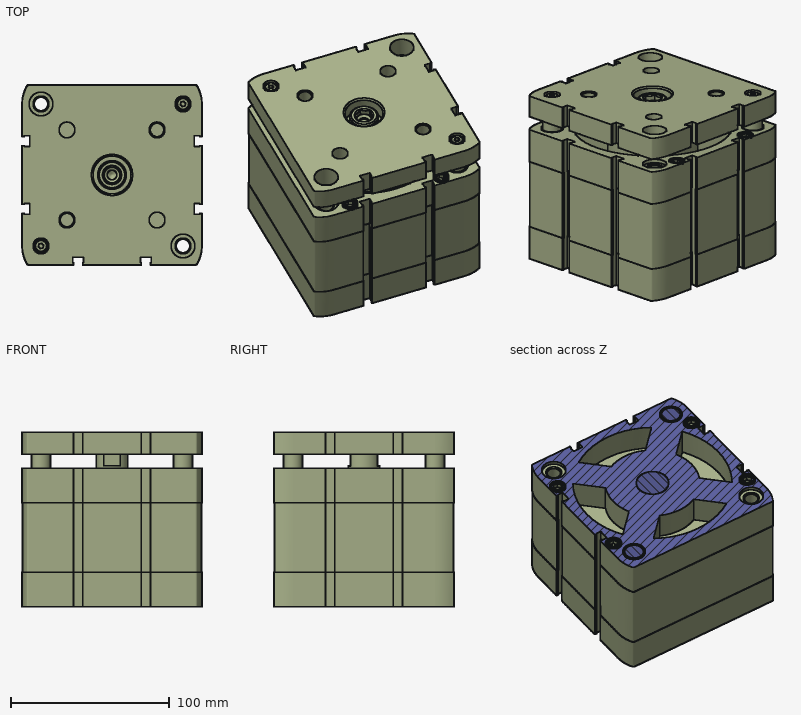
import cadquery as cq
import math

width = 113.5
total_height = 110.0
plate_thickness = 14.0
cap_height = 21.7
housing_height = 87.3
plate_bottom = total_height - plate_thickness
barrel_inset = 0.2

corner_arc_radius = 22.7
corner_arc_start = 44.7
corner_blend_radius = 1.4

slot_offset = 21.3
slot_depth = 4.9
slot_width = 6.6
slot_neck_width = 5.6
slot_neck_depth = 1.4
slot_mouth_chamfer = 0.2

guide_offset = 44.7
guide_diameter = 12.0
guide_recess_diameter = 14.0
guide_recess_depth = 0.6
rod_diameter = 20.0
rod_flat_width = 17.0
rod_flat_start = 88.8
rod_depth = cap_height

pocket_diameter = 100.0
pocket_depth = 18.0
hub_diameter = 60.0
rib_width = 20.0

mount_counterbore_diameter = 15.0
mount_counterbore_depth = 2.3
mount_hole_diameter = 8.5
mount_rim_diameter = 10.0

cap_screw_x = 51.1
cap_screw_y = 31.1
cap_screw_hole_diameter = 10.0
cap_screw_head_diameter = 8.4
cap_screw_groove_depth = 1.0
cap_screw_hex = 5.0
cap_screw_hex_rim = 6.0
cap_screw_hex_depth = 3.4

thread_offset = 28.4
thread_diameter = 8.5
thread_rim_diameter = 10.0
dowel_diameter = 10.0
guide_screw_hole_diameter = 10.0
guide_screw_hole_depth = 2.0
guide_screw_diameter = 8.4
guide_screw_top_diameter = 7.0
guide_screw_height = 1.4
guide_screw_hex = 3.0
guide_screw_hex_turn = 15.0
guide_screw_hex_depth = 2.8

centre_bore_diameter = 24.0
centre_rim_diameter = 26.0
centre_bore_depth = 10.0
head_diameter = 18.0
head_top_diameter = 16.1
head_top_depth = 2.6
head_hex = 10.0
head_hex_rim = 12.0
head_hex_depth = 4.0
drill_diameter = 6.0
drill_depth = 1.1
drill_tip_angle = 118.0

mirrored = (-1, 1)
quadrants = [(sx, sy) for sx in mirrored for sy in mirrored]
guide_points = [(s * guide_offset, s * guide_offset) for s in mirrored]
mount_points = [(s * guide_offset, -s * guide_offset) for s in mirrored]
thread_points = [(s * thread_offset, s * thread_offset) for s in mirrored]
dowel_points = [(s * thread_offset, -s * thread_offset) for s in mirrored]
cap_screw_points = [(sx * cap_screw_x, sy * cap_screw_y) for sx, sy in quadrants]


def cylinders(points, diameter, bottom, top):
    base = cq.Workplane("XY", origin=(0, 0, bottom)).pushPoints(points)
    return base.circle(diameter / 2).extrude(top - bottom)


def cones(points, bottom_diameter, top_diameter, bottom, top):
    """Cones or truncated cones standing at the given points."""
    cone = cq.Solid.makeCone(bottom_diameter / 2, top_diameter / 2, top - bottom, cq.Vector(0, 0, bottom))
    copies = cq.Workplane("XY")
    for x, y in points:
        copies = copies.add(cone.translate(cq.Vector(x, y, 0)))
    return copies.combine()


def rim_chamfers(points, rim_diameter, hole_diameter, top):
    """45 degree countersinks that widen holes up to the rim diameter."""
    depth = (rim_diameter - hole_diameter) / 2
    return cones(points, hole_diameter, rim_diameter, top - depth, top)


def hex_sockets(points, flat_width, turn, bottom, top):
    """Hexagonal prisms; unturned ones have flats across Y."""
    corner_diameter = flat_width / math.cos(math.pi / 6)
    prism = cq.Workplane("XY", origin=(0, 0, bottom)).polygon(6, corner_diameter).extrude(top - bottom)
    prism = prism.rotate((0, 0, 0), (0, 0, 1), turn)
    copies = cq.Workplane("XY")
    for x, y in points:
        copies = copies.add(prism.translate((x, y, 0)).val())
    return copies.combine()


def t_slots(half_width, bottom, top):
    """Two slots on each of the -X, +X and -Y sides."""
    neck_half = slot_neck_width / 2
    slot_half = slot_width / 2
    mouth_half = neck_half + slot_mouth_chamfer
    profile = [
        (-half_width, -mouth_half),
        (-half_width + slot_mouth_chamfer, -neck_half),
        (-half_width + slot_neck_depth, -neck_half),
        (-half_width + slot_neck_depth, -slot_half),
        (-half_width + slot_depth, -slot_half),
        (-half_width + slot_depth, slot_half),
        (-half_width + slot_neck_depth, slot_half),
        (-half_width + slot_neck_depth, neck_half),
        (-half_width + slot_mouth_chamfer, neck_half),
        (-half_width, mouth_half),
    ]
    slot = cq.Workplane("XY", origin=(0, 0, bottom)).polyline(profile).close().extrude(top - bottom)
    slots = cq.Workplane("XY")
    for angle in (0, 90, 180):
        for side in mirrored:
            copy = slot.translate((0, side * slot_offset, 0)).rotate((0, 0, 0), (0, 0, 1), angle)
            slots = slots.add(copy.val())
    return slots.combine()


def slotted_block(inset, bottom, top):
    """Square block with arc-shaped corners and T-slots."""
    half = width / 2 - inset

    def arc_x(y):
        rise = y - corner_arc_start
        return half - corner_arc_radius + math.sqrt(corner_arc_radius**2 - rise**2)

    end_x = arc_x(half)
    mid_y = (corner_arc_start + half) / 2
    mid_x = arc_x(mid_y)
    block = (
        cq.Workplane("XY", origin=(0, 0, bottom))
        .moveTo(half, -corner_arc_start)
        .lineTo(half, corner_arc_start)
        .threePointArc((mid_x, mid_y), (end_x, half))
        .lineTo(-end_x, half)
        .threePointArc((-mid_x, mid_y), (-half, corner_arc_start))
        .lineTo(-half, -corner_arc_start)
        .threePointArc((-mid_x, -mid_y), (-end_x, -half))
        .lineTo(end_x, -half)
        .threePointArc((mid_x, -mid_y), (half, -corner_arc_start))
        .close()
        .extrude(top - bottom)
    )
    for sx, sy in quadrants:
        corner = cq.NearestToPointSelector((sx * end_x, sy * half, (bottom + top) / 2))
        block = block.edges("|Z").edges(corner).fillet(corner_blend_radius)
    return block.cut(t_slots(half, bottom, top))


def cap_pocket():
    """Round pocket around the hub, interrupted by the diagonal ribs."""
    floor = housing_height - pocket_depth
    pocket = cylinders([(0, 0)], pocket_diameter, floor, housing_height)
    pocket = pocket.cut(cylinders([(0, 0)], hub_diameter, floor, housing_height))
    for angle in (45, 135):
        rib = cq.Workplane("XY", origin=(0, 0, floor)).rect(width, rib_width).extrude(pocket_depth)
        pocket = pocket.cut(rib.rotate((0, 0, 0), (0, 0, 1), angle))
    return pocket


def cap_screws(body):
    """Screw heads flush with the cap, each outlined by a groove and with a hexagon socket."""
    top = housing_height
    groove_floor = top - cap_screw_groove_depth
    grooves = cylinders(cap_screw_points, cap_screw_hole_diameter, groove_floor, top)
    grooves = grooves.cut(cylinders(cap_screw_points, cap_screw_head_diameter, groove_floor, top))
    body = body.cut(grooves)
    body = body.cut(hex_sockets(cap_screw_points, cap_screw_hex, 0, top - cap_screw_hex_depth, top))
    return body.cut(rim_chamfers(cap_screw_points, cap_screw_hex_rim, cap_screw_hex, top))


def mounting_holes(body):
    top = housing_height
    seat = top - mount_counterbore_depth
    body = body.cut(cylinders(mount_points, mount_counterbore_diameter, seat, top))
    body = body.cut(cylinders(mount_points, mount_hole_diameter, 0, seat))
    return body.cut(rim_chamfers(mount_points, mount_rim_diameter, mount_hole_diameter, seat))


def rod_bores(body):
    top = housing_height
    bottom = top - rod_depth
    body = body.cut(cylinders([(0, 0)], rod_diameter, bottom, top))
    body = body.cut(cylinders(guide_points, guide_diameter, bottom, top))
    return body.cut(cylinders(guide_points, guide_recess_diameter, top - guide_recess_depth, top))


def make_housing():
    """Barrel between two end caps."""
    barrel_top = housing_height - cap_height
    body = slotted_block(barrel_inset, cap_height, barrel_top)
    body = body.union(slotted_block(0, 0, cap_height))
    body = body.union(slotted_block(0, barrel_top, housing_height))
    body = body.cut(cap_pocket())
    body = mounting_holes(body)
    body = cap_screws(body)
    return rod_bores(body)


def make_rods():
    """Piston rod with two wrench flats, and the two guide rods."""
    bottom = housing_height - rod_depth
    rod = cylinders([(0, 0)], rod_diameter, bottom, rod_flat_start)
    flat_part = cylinders([(0, 0)], rod_diameter, rod_flat_start, plate_bottom)
    flats = cq.Workplane("XY", origin=(0, 0, rod_flat_start)).rect(rod_diameter, rod_flat_width)
    flat_part = flat_part.intersect(flats.extrude(plate_bottom - rod_flat_start))
    return rod.union(flat_part).union(cylinders(guide_points, guide_diameter, bottom, plate_bottom))


def guide_screws(body):
    """Tapered screw heads standing in their holes, above the guide rods."""
    floor = total_height - guide_screw_hole_depth
    screw_top = floor + guide_screw_height
    body = body.cut(cylinders(guide_points, guide_screw_hole_diameter, floor, total_height))
    body = body.union(cones(guide_points, guide_screw_diameter, guide_screw_top_diameter, floor, screw_top))
    socket_bottom = screw_top - guide_screw_hex_depth
    sockets = hex_sockets(guide_points, guide_screw_hex, guide_screw_hex_turn, socket_bottom, screw_top)
    return body.cut(sockets)


def centre_screw(body):
    """Counterbore with a chamfered screw head standing in it."""
    centre = [(0, 0)]
    floor = total_height - centre_bore_depth
    head_top = total_height - head_top_depth
    head_chamfer = (head_diameter - head_top_diameter) / 2
    body = body.cut(cylinders(centre, centre_bore_diameter, floor, total_height))
    body = body.cut(rim_chamfers(centre, centre_rim_diameter, centre_bore_diameter, total_height))
    body = body.union(cylinders(centre, head_diameter, floor, head_top - head_chamfer))
    body = body.union(cones(centre, head_diameter, head_top_diameter, head_top - head_chamfer, head_top))
    tip_slope = 1 / math.tan(math.radians(drill_tip_angle / 2))
    socket_bottom = head_top - head_hex_depth
    cone_bottom = socket_bottom - (head_hex - drill_diameter) / 2 * tip_slope
    drill_bottom = cone_bottom - drill_depth
    drill_tip = drill_bottom - drill_diameter / 2 * tip_slope
    body = body.cut(hex_sockets(centre, head_hex, 0, socket_bottom, head_top))
    body = body.cut(rim_chamfers(centre, head_hex_rim, head_hex, head_top))
    body = body.cut(cones(centre, drill_diameter, head_hex, cone_bottom, socket_bottom))
    body = body.cut(cylinders(centre, drill_diameter, drill_bottom, cone_bottom))
    return body.cut(cones(centre, 0, drill_diameter, drill_tip, drill_bottom))


def make_slide():
    """Front plate together with its piston rod and guide rods."""
    body = slotted_block(0, plate_bottom, total_height)
    body = body.cut(cylinders(mount_points, mount_counterbore_diameter, plate_bottom, total_height))
    body = body.cut(cylinders(dowel_points, dowel_diameter, plate_bottom, total_height))
    body = body.cut(cylinders(thread_points, thread_diameter, plate_bottom, total_height))
    body = body.cut(rim_chamfers(thread_points, thread_rim_diameter, thread_diameter, total_height))
    body = body.union(make_rods())
    body = guide_screws(body)
    return centre_screw(body)


housing = make_housing()
slide = make_slide()

result = cq.Compound.makeCompound([housing.solids().val(), slide.solids().val()])